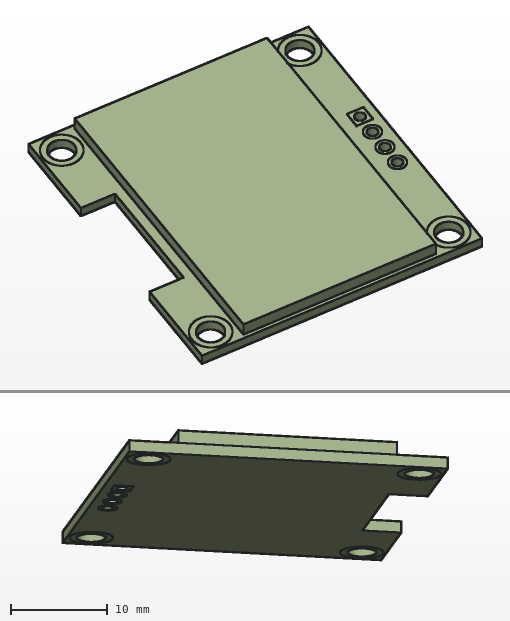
import cadquery as cq

BOARD_LENGTH = 35.4
BOARD_WIDTH = 33.5
BOARD_THICKNESS = 1.2
NOTCH_LENGTH = 14.0
NOTCH_DEPTH = 4.07

TOTAL_HEIGHT = 2.7
PANEL_LENGTH = 34.45
PANEL_WIDTH = 23.0
PANEL_THICKNESS = TOTAL_HEIGHT - BOARD_THICKNESS

MOUNT_X = 15.2
MOUNT_Y = 14.23
MOUNT_HOLE_DIAMETER = 3.0
MOUNT_RING_DIAMETER = 4.5

PAD_COUNT = 4
PAD_PITCH = 2.55
PAD_ROW_Y = 14.75
PAD_SIZE = 2.0
PAD_HOLE_DIAMETER = 1.2

mount_positions = [(x, y) for x in (-MOUNT_X, MOUNT_X) for y in (-MOUNT_Y, MOUNT_Y)]
pad_positions = [((i - (PAD_COUNT - 1) / 2) * PAD_PITCH, PAD_ROW_Y) for i in range(PAD_COUNT)]


def make_disc(position, diameter):
    """Round plug through the full board thickness."""
    return cq.Workplane("XY").center(*position).circle(diameter / 2).extrude(BOARD_THICKNESS)


def make_square(position, side):
    """Square plug through the full board thickness."""
    return cq.Workplane("XY").center(*position).rect(side, side).extrude(BOARD_THICKNESS)


def make_mount_ring(position):
    """Ring set flush in the board around a mounting hole."""
    return make_disc(position, MOUNT_RING_DIAMETER).cut(make_disc(position, MOUNT_HOLE_DIAMETER))


def make_pad_blank(index):
    """Outer shape of a solder pad, without its hole."""
    make_outline = make_square if index == 0 else make_disc
    return make_outline(pad_positions[index], PAD_SIZE)


def make_pad(index):
    """Solder pad set flush in the board, with its pin hole."""
    return make_pad_blank(index).cut(make_disc(pad_positions[index], PAD_HOLE_DIAMETER))


def make_board():
    """Board with an edge notch and openings that fit the rings and pads."""
    plate = cq.Workplane("XY").rect(BOARD_LENGTH, BOARD_WIDTH).extrude(BOARD_THICKNESS)
    notch = (
        cq.Workplane("XY")
        .center(0, (NOTCH_DEPTH - BOARD_WIDTH) / 2)
        .rect(NOTCH_LENGTH, NOTCH_DEPTH)
        .extrude(BOARD_THICKNESS)
    )
    plate = plate.cut(notch)
    for position in mount_positions:
        plate = plate.cut(make_disc(position, MOUNT_RING_DIAMETER))
    for index in range(PAD_COUNT):
        plate = plate.cut(make_pad_blank(index))
    return plate


def make_panel():
    """Rectangular display panel on top of the board."""
    return (
        cq.Workplane("XY", origin=(0, 0, BOARD_THICKNESS))
        .rect(PANEL_LENGTH, PANEL_WIDTH)
        .extrude(PANEL_THICKNESS)
    )


board = make_board()
panel = make_panel()
mount_rings = [make_mount_ring(position) for position in mount_positions]
pads = [make_pad(index) for index in range(PAD_COUNT)]

result = cq.Compound.makeCompound([
    board.val(),
    panel.val(),
    *[ring.val() for ring in mount_rings],
    *[pad.val() for pad in pads],
])